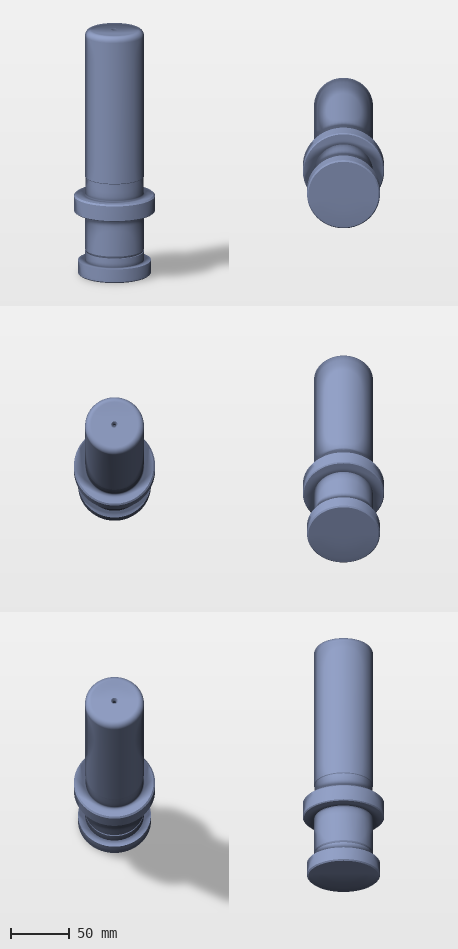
import cadquery as cq
import math

total_height = 215.0
flange_top = 12.3
foot_top = 20.0
collar_bottom = 55.0
collar_top = 70.0
neck_top = 86.0

shaft_radius = 25.0
neck_radius = 24.5
collar_radius = 34.5
flange_radius = 31.0

nose_radius = 5.0
foot_chamfer = 1.0
seat_chamfer_height = 2.0
seat_chamfer_width = 1.0
collar_top_chamfer = 1.3
collar_bottom_chamfer = 0.9
neck_root_radius = 1.0
neck_step_height = 0.54
undercut_height = 1.0
undercut_depth = 0.6

centre_mouth_radius = 2.8
centre_drill_radius = 1.3
centre_cone_angle = 60.0
centre_drill_length = 3.2


def revolve_profile(profile):
    """Turn a closed radius-height outline about the Z axis."""
    return profile.close().revolve(360, (0, 0, 0), (0, 1, 0))


def make_foot():
    """Flanged foot with a spigot the same diameter as the shaft."""
    profile = (
        cq.Workplane("XZ")
        .lineTo(flange_radius - foot_chamfer, 0)
        .lineTo(flange_radius, foot_chamfer)
        .lineTo(flange_radius, flange_top)
        .lineTo(shaft_radius, flange_top)
        .lineTo(shaft_radius, foot_top)
        .lineTo(0, foot_top)
    )
    return revolve_profile(profile)


def make_centre_hole():
    """Conical mouth leading into a short straight drilling."""
    cone_depth = (centre_mouth_radius - centre_drill_radius) / math.tan(math.radians(centre_cone_angle / 2))
    cone_bottom = total_height - cone_depth
    drill_bottom = cone_bottom - centre_drill_length
    profile = (
        cq.Workplane("XZ")
        .moveTo(0, total_height)
        .lineTo(centre_mouth_radius, total_height)
        .lineTo(centre_drill_radius, cone_bottom)
        .lineTo(centre_drill_radius, drill_bottom)
        .lineTo(0, drill_bottom)
    )
    return revolve_profile(profile)


def make_pillar():
    """Guide pillar with collar, relieved neck and rounded nose."""
    undercut_radius = shaft_radius - undercut_depth
    undercut_bottom = collar_bottom - undercut_height
    nose_start = total_height - nose_radius
    profile = (
        cq.Workplane("XZ")
        .moveTo(0, foot_top)
        .lineTo(shaft_radius - seat_chamfer_width, foot_top)
        .lineTo(shaft_radius, foot_top + seat_chamfer_height)
        .lineTo(shaft_radius, undercut_bottom)
        .lineTo(undercut_radius, undercut_bottom + undercut_depth)
        .lineTo(undercut_radius, collar_bottom)
        .lineTo(collar_radius - collar_bottom_chamfer, collar_bottom)
        .lineTo(collar_radius, collar_bottom + collar_bottom_chamfer)
        .lineTo(collar_radius, collar_top - collar_top_chamfer)
        .lineTo(collar_radius - collar_top_chamfer, collar_top)
        .lineTo(neck_radius + neck_root_radius, collar_top)
        .radiusArc((neck_radius, collar_top + neck_root_radius), neck_root_radius)
        .lineTo(neck_radius, neck_top - neck_step_height)
        .lineTo(shaft_radius, neck_top)
        .lineTo(shaft_radius, nose_start)
        .radiusArc((shaft_radius - nose_radius, total_height), -nose_radius)
        .lineTo(0, total_height)
    )
    return revolve_profile(profile).cut(make_centre_hole())


foot = make_foot()
pillar = make_pillar()
result = cq.Compound.makeCompound([foot.val(), pillar.val()])